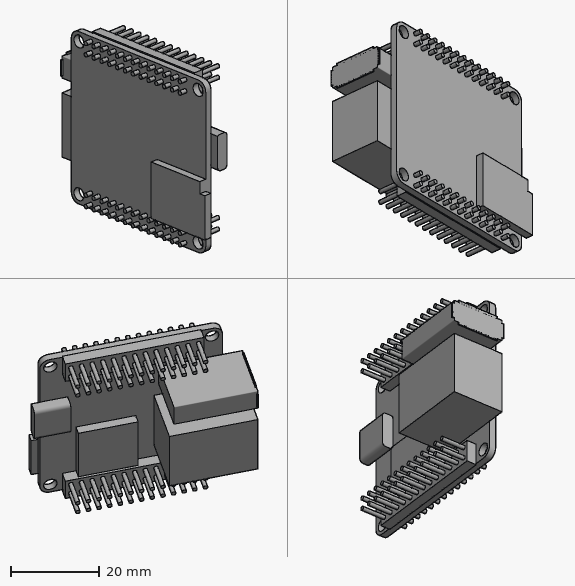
import cadquery as cq
import math


board_size = 42.75
board_thickness = 1.75
corner_radius = 2.4
hole_diameter = 3.1
hole_spacing = 37.85

pins_per_row = 13
pin_diameter = 1.05
pin_row_length = 29.9
pin_row_spacing = 2.8
pin_pair_offset = 18.8
pin_rear_length = 8.8
pin_front_length = 1.75
header_center_x = -0.1
header_length = 32.45
header_width = 5.6
header_height = 2.55
header_outer_z = 43.4 / 2

left_overhang = 4.65
connector_height = 13.5
connector_left = -board_size / 2 - left_overhang

usb_depth = 19.65
usb_width = 5.55
usb_center_z = 9.75
usb_edge_radius = 0.2
lip_thickness = 0.3
lip_height = 0.5
lip_long = 10.95
lip_short = 3.95

ethernet_depth = 20.75
ethernet_width = 15.95
ethernet_center_z = -4.55

port_overhang = 2.1
port_depth = 8.5
port_width = 9.1
port_height = 3.0
port_center_z = 4.0
port_radius = 1.0
port_foot_radius = 0.75
port_foot_height = 0.6

card_left = 5.95
card_right = 22.95
card_bottom = -16.45
card_top = -2.45
card_step_z = -5.45
card_thickness = 1.95

chip_size = 14.0
chip_height = 2.1
chip_center_x = 5.95
chip_bottom_z = -16.0


def box(x_min, x_max, y_min, y_max, z_min, z_max):
    """Axis-aligned box between the given limits."""
    size = (x_max - x_min, y_max - y_min, z_max - z_min)
    return cq.Workplane("XY").box(*size, centered=False).translate((x_min, y_min, z_min))


def make_board():
    return (
        cq.Workplane("XZ")
        .rect(board_size, board_size)
        .extrude(board_thickness)
        .edges("|Y")
        .fillet(corner_radius)
        .faces("<Y")
        .workplane(origin=(0, 0, 0))
        .rect(hole_spacing, hole_spacing, forConstruction=True)
        .vertices()
        .hole(hole_diameter)
    )


def make_header(side):
    """Header strip with two rows of pins; side is +1 for the upper edge, -1 for the lower."""
    strip_center_z = side * (header_outer_z - header_width / 2)
    strip = (
        cq.Workplane("XZ")
        .center(header_center_x, strip_center_z)
        .rect(header_length, header_width)
        .extrude(-header_height)
    )
    pin_pitch = pin_row_length / (pins_per_row - 1)
    pin_length = pin_rear_length + board_thickness + pin_front_length
    pins = (
        cq.Workplane("XZ", origin=(header_center_x, pin_rear_length, side * pin_pair_offset))
        .rarray(pin_pitch, pin_row_spacing, pins_per_row, 2)
        .circle(pin_diameter / 2)
        .extrude(pin_length)
    )
    return strip.union(pins)


def make_usb():
    """Socket with rounded long edges and four lips around its mouth."""
    body = (
        cq.Workplane("XY")
        .box(usb_depth, connector_height, usb_width, centered=(False, True, True))
        .edges("|X")
        .fillet(usb_edge_radius)
    )
    lip_centered = (False, True, True)
    long_lips = cq.Workplane("XY").box(
        lip_thickness, lip_long, usb_width + 2 * lip_height, centered=lip_centered
    )
    short_lips = cq.Workplane("XY").box(
        lip_thickness, connector_height + 2 * lip_height, lip_short, centered=lip_centered
    )
    socket = body.union(long_lips).union(short_lips)
    return socket.translate((connector_left, connector_height / 2, usb_center_z))


def make_ethernet():
    return box(
        connector_left,
        connector_left + ethernet_depth,
        0,
        connector_height,
        ethernet_center_z - ethernet_width / 2,
        ethernet_center_z + ethernet_width / 2,
    )


def make_port():
    """Low connector: three rounded corners and a shallower arc at the upper foot."""
    right = board_size / 2 + port_overhang
    bottom = port_center_z - port_width / 2
    top = port_center_z + port_width / 2
    bend = port_radius * (1 - math.sqrt(0.5))
    foot_inset = port_foot_radius - math.sqrt(port_foot_radius**2 - port_foot_height**2)
    return (
        cq.Workplane("YZ", origin=(right - port_depth, 0, 0))
        .moveTo(port_radius, bottom)
        .lineTo(port_height - port_radius, bottom)
        .threePointArc((port_height - bend, bottom + bend), (port_height, bottom + port_radius))
        .lineTo(port_height, top - port_radius)
        .threePointArc((port_height - bend, top - bend), (port_height - port_radius, top))
        .lineTo(port_foot_height, top)
        .radiusArc((0, top - foot_inset), -port_foot_radius)
        .lineTo(0, bottom + port_radius)
        .threePointArc((bend, bottom + bend), (port_radius, bottom))
        .close()
        .extrude(port_depth)
    )


def make_card_slot():
    """Card holder flush with the board edge, with the card sticking out below the step."""
    front = -board_thickness - card_thickness
    holder = box(card_left, board_size / 2, front, -board_thickness, card_bottom, card_top)
    card = box(card_left, card_right, front, -board_thickness, card_bottom, card_step_z)
    return holder.union(card)


def make_chip():
    left = chip_center_x - chip_size / 2
    return box(left, left + chip_size, 0, chip_height, chip_bottom_z, chip_bottom_z + chip_size)


result = make_board()
for component in (
    make_header(1),
    make_header(-1),
    make_usb(),
    make_ethernet(),
    make_port(),
    make_card_slot(),
    make_chip(),
):
    result = result.union(component)